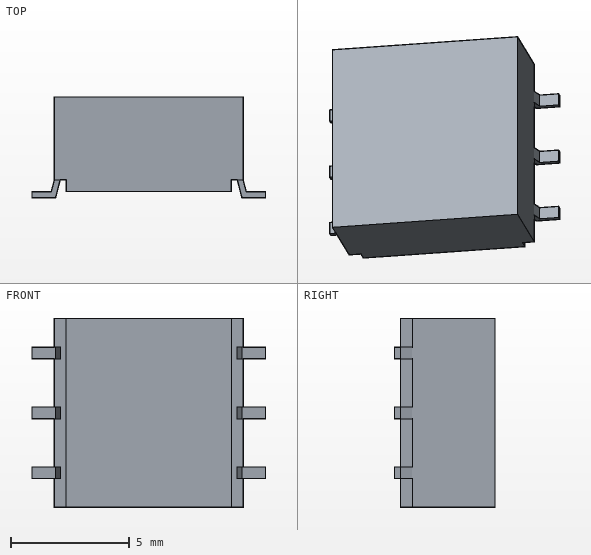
import cadquery as cq

overall_width = 9.9
overall_depth = 4.27
body_side = 8.0

rebate = 0.5

lead_thickness = 0.26
lead_width = 0.5
lead_pitch = 2.53
leads_per_side = 3
heel_length = 1.01
leg_slant = 0.2

body_front = lead_thickness
rebate_floor = body_front + rebate
half_width = overall_width / 2
half_body = body_side / 2


def make_body():
    """Square block with a rebate cut along each front edge."""
    half_front = half_body - rebate
    outline = [
        (-half_front, body_front),
        (half_front, body_front),
        (half_front, rebate_floor),
        (half_body, rebate_floor),
        (half_body, overall_depth),
        (-half_body, overall_depth),
        (-half_body, rebate_floor),
        (-half_front, rebate_floor),
    ]
    return cq.Workplane("XY").polyline(outline).close().extrude(half_body, both=True)


def make_lead(height):
    """Left-hand lead: a flat foot and a sloping leg that ends on the rebate floor."""
    tip = -half_width
    heel = tip + heel_length
    leg_inner_top = heel + leg_slant
    leg_outer_top = -half_body
    outer_run = leg_slant * (rebate_floor - lead_thickness) / rebate_floor
    outline = [
        (tip, 0),
        (heel, 0),
        (leg_inner_top, rebate_floor),
        (leg_outer_top, rebate_floor),
        (leg_outer_top - outer_run, lead_thickness),
        (tip, lead_thickness),
    ]
    lead = cq.Workplane("XY").polyline(outline).close().extrude(lead_width / 2, both=True)
    return lead.translate((0, 0, height))


result = make_body()
for index in range(leads_per_side):
    lead_height = (index - (leads_per_side - 1) / 2) * lead_pitch
    left_lead = make_lead(lead_height)
    result = result.union(left_lead).union(left_lead.mirror("YZ"))